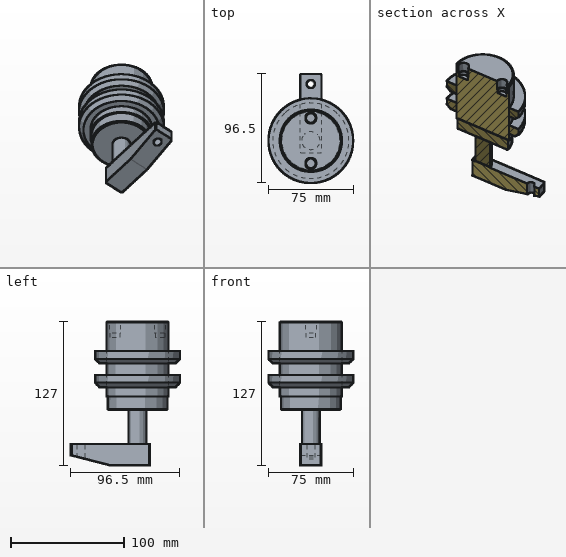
import cadquery as cq

arm_height = 19.0
rod_length = 30.0
cap_height = 12.0
housing_height = 66.0
rod_bottom = arm_height
cap_bottom = rod_bottom + rod_length
housing_bottom = cap_bottom + cap_height

edge_chamfer = 1.0

housing_diameter = 55.0
port_diameter = 9.7
port_core_diameter = 8.6
port_bore_depth = 10.0
port_depth = 14.0
port_offset = 20.0

cap_diameter = 53.0
rod_diameter = 16.0

nut_diameter = 75.0
nut_height = 11.0
nut_bevel = 4.0
nut_pitch = 21.0
lower_nut_bottom = 69.0
nut_count = 2

arm_width = 19.0
arm_length = 70.0
arm_heel = 11.0
arm_flat_length = 35.0
arm_tip_height = 10.0
arm_hole_diameter = 7.0
arm_hole_from_tip = 9.0
arm_tip_y = arm_length - arm_heel


def cylinder(diameter, height, bottom):
    return cq.Workplane("XY").workplane(offset=bottom).circle(diameter / 2).extrude(height)


def make_housing():
    """Plain barrel with a chamfered top rim and two stepped blind ports."""
    barrel = cylinder(housing_diameter, housing_height, housing_bottom).faces(">Z").chamfer(edge_chamfer)
    return (
        barrel.faces(">Z").workplane(origin=(0, 0, 0))
        .pushPoints([(0, port_offset), (0, -port_offset)])
        .cboreHole(port_core_diameter, port_diameter, port_bore_depth, port_depth)
    )


def make_cap():
    """End cap under the housing, chamfered on its lower rim."""
    return cylinder(cap_diameter, cap_height, cap_bottom).faces("<Z").chamfer(edge_chamfer)


def make_nut(bottom):
    """Ring nut around the housing, bevelled on its lower outer rim."""
    disc = cylinder(nut_diameter, nut_height, bottom).faces("<Z").chamfer(nut_bevel)
    return disc.cut(cylinder(housing_diameter, nut_height, bottom))


def make_arm():
    """Clamp arm along Y with a tapered underside, chamfered corners and a tip hole."""
    profile = [
        (-arm_heel, 0),
        (arm_flat_length - arm_heel, 0),
        (arm_tip_y, arm_height - arm_tip_height),
        (arm_tip_y, arm_height),
        (-arm_heel, arm_height),
    ]
    bar = cq.Workplane("YZ").polyline(profile).close().extrude(arm_width / 2, both=True)
    bar = bar.edges("|Z").chamfer(edge_chamfer)
    hole = cylinder(arm_hole_diameter, arm_height, 0).translate((0, arm_tip_y - arm_hole_from_tip, 0))
    return bar.cut(hole)


housing = make_housing()
cap = make_cap()
rod = cylinder(rod_diameter, rod_length, rod_bottom)
arm = make_arm()
nuts = [make_nut(lower_nut_bottom + i * nut_pitch) for i in range(nut_count)]

result = cq.Compound.makeCompound(
    [housing.val(), cap.val(), rod.val(), arm.val(), *[nut.val() for nut in nuts]]
)